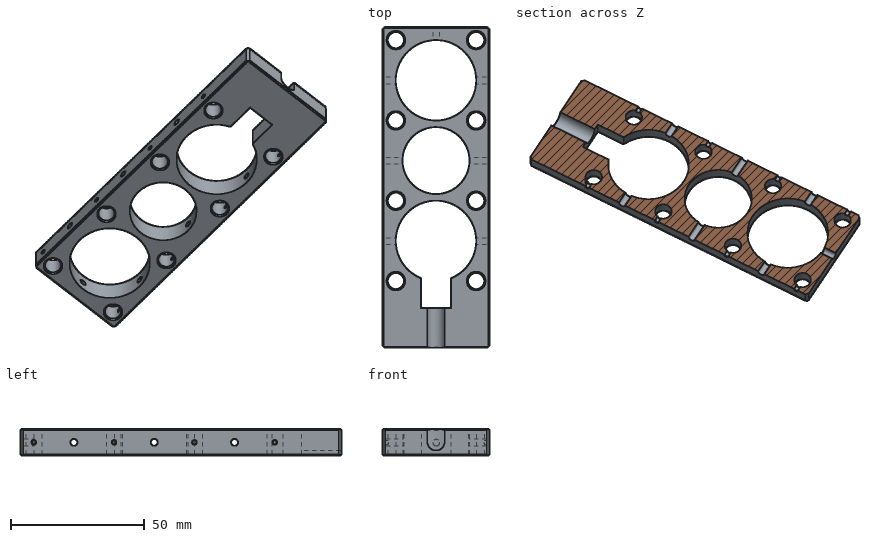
import cadquery as cq

length = 120
width = length / 3
thickness = width / 4
edge_chamfer = 0.5
corner_chamfer = 1.0

pitch = 30
rod_rows = 4
rod_diameter = 6
rod_chamfer = 0.5
opening_diameters = [30, 25.0, 30]

slot_width = 11.0
slot_end_wall = 15.0
channel_width = 6.5
channel_depth = 8.0

opening_hole_diameter = 2.5
clamp_hole_diameter = 1.5
clamp_hole_chamfer = 0.18

rod_margin = (width - pitch) / 2
rod_x = pitch / 2
rod_ys = [length / 2 - rod_margin - row * pitch for row in range(rod_rows)]
opening_ys = [y - pitch / 2 for y in rod_ys[:-1]]
slot_end_y = -length / 2 + slot_end_wall


def through_cylinder(x, y, diameter):
    """Vertical cylinder spanning the plate thickness."""
    return cq.Workplane("XY").center(x, y).circle(diameter / 2).extrude(thickness / 2, both=True)


def rod_bore(x, y):
    """Rod bore with a chamfered mouth on both faces of the plate."""
    mouth_diameter = rod_diameter + 2 * rod_chamfer
    bore = through_cylinder(x, y, rod_diameter)
    for side in (1, -1):
        mouth = (
            cq.Workplane("XY", origin=(x, y, side * thickness / 2))
            .circle(mouth_diameter / 2)
            .workplane(offset=-side * rod_chamfer)
            .circle(rod_diameter / 2)
            .loft()
        )
        bore = bore.union(mouth)
    return bore


def side_holes(ys, diameter, depth, mouth_chamfer=0):
    """Holes bored along X from both long sides, to the given depth, with an optional chamfered mouth."""
    left_face = cq.Workplane("YZ", origin=(-width / 2, 0, 0))
    points = [(y, 0) for y in ys]
    holes = left_face.pushPoints(points).circle(diameter / 2).extrude(depth)
    if mouth_chamfer:
        for y in ys:
            mouth = (
                left_face.center(y, 0)
                .circle(diameter / 2 + mouth_chamfer)
                .workplane(offset=mouth_chamfer)
                .circle(diameter / 2)
                .loft()
            )
            holes = holes.union(mouth)
    return holes.union(holes.mirror("YZ"))


def end_hole():
    """Hole bored along Y from the +Y end into the first opening."""
    depth = length / 2 - opening_ys[0]
    return (
        cq.Workplane("XZ", origin=(0, length / 2, 0))
        .circle(opening_hole_diameter / 2)
        .extrude(depth)
    )


def slot():
    """Full-depth slot joining the last opening."""
    slot_length = opening_ys[-1] - slot_end_y
    return (
        cq.Workplane("XY")
        .center(0, slot_end_y + slot_length / 2)
        .rect(slot_width, slot_length)
        .extrude(thickness / 2, both=True)
    )


def channel():
    """Channel open at the top, with a round bottom."""
    radius = channel_width / 2
    top_z = thickness / 2
    bottom_z = top_z - channel_depth
    arc_z = bottom_z + radius
    return (
        cq.Workplane("XZ", origin=(0, slot_end_y, 0))
        .moveTo(-radius, top_z)
        .lineTo(-radius, arc_z)
        .threePointArc((0, bottom_z), (radius, arc_z))
        .lineTo(radius, top_z)
        .close()
        .extrude(slot_end_wall)
    )


block = cq.Workplane("XY").box(width, length, thickness)
result = block.faces("<Z or >Z").chamfer(edge_chamfer)
result = result.intersect(block.edges("|Z").chamfer(corner_chamfer))

for y, diameter in zip(opening_ys, opening_diameters):
    result = result.cut(through_cylinder(0, y, diameter))

for y in rod_ys:
    for x in (-rod_x, rod_x):
        result = result.cut(rod_bore(x, y))

result = result.cut(side_holes(opening_ys, opening_hole_diameter, width / 2))
result = result.cut(side_holes(rod_ys, clamp_hole_diameter, rod_margin, clamp_hole_chamfer))
result = result.cut(end_hole())
result = result.cut(slot())
result = result.cut(channel())